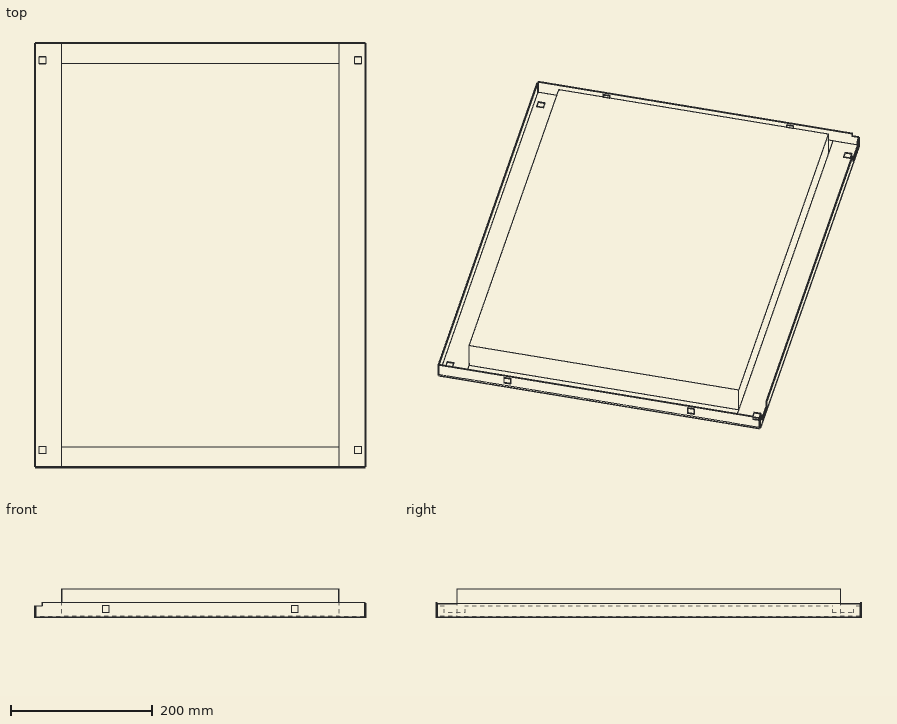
import cadquery as cq

length_x = 469.0
length_y = 601.0
sheet = 1.5
corner_gap = 2.0

left_wall_height = 16.0
right_wall_height = 19.0
end_wall_height = 21.0
end_step_length = 11.0

block_margin_x = 38.5
block_margin_y = 29.5
block_height = 40.0

pad_thickness = 0.3

hole_size = 9.5
wall_hole_inset = 101.0
wall_hole_height = 12.0
floor_hole_inset_x = 11.5
floor_hole_inset_y = 25.0

notch_inset = 11.5
notch_length = 29.5
notch_floor = 6.5

block_x = length_x - 2 * block_margin_x
block_y = length_y - 2 * block_margin_y
sides = (-1, 1)


def box(size_x, size_y, size_z, x, y, z):
    """Box centred on x and y with its underside at z."""
    solid = cq.Workplane("XY").box(size_x, size_y, size_z, centered=(True, True, False))
    return solid.translate((x, y, z))


def floor():
    """Flat sheet with its four corners clipped so the walls do not meet."""
    plate = box(length_x, length_y, sheet, 0, 0, 0)
    for side_x in sides:
        for side_y in sides:
            corner_x = side_x * (length_x - corner_gap) / 2
            corner_y = side_y * (length_y - corner_gap) / 2
            plate = plate.cut(box(corner_gap, corner_gap, sheet, corner_x, corner_y, 0))
    return plate


def left_wall():
    """Lower wall along the -X edge, notched near both ends."""
    x = -(length_x - sheet) / 2
    wall = box(sheet, length_y - 2 * corner_gap, left_wall_height, x, 0, 0)
    for side in sides:
        y = side * (length_y / 2 - notch_inset - notch_length / 2)
        wall = wall.cut(box(sheet, notch_length, left_wall_height, x, y, notch_floor))
    return wall


def right_wall():
    """Plain wall along the +X edge."""
    return box(sheet, length_y - 2 * corner_gap, right_wall_height, (length_x - sheet) / 2, 0, 0)


def end_wall(side):
    """Wall along a Y edge, stepped down at its left end and pierced by two square holes."""
    y = side * (length_y - sheet) / 2
    wall = box(length_x - 2 * corner_gap, sheet, end_wall_height, 0, y, 0)
    step_x = -(length_x - end_step_length) / 2
    wall = wall.cut(box(end_step_length, sheet, end_wall_height, step_x, y, left_wall_height))
    for side_x in sides:
        hole_x = side_x * (length_x / 2 - wall_hole_inset)
        wall = wall.cut(box(hole_size, sheet, hole_size, hole_x, y, wall_hole_height - hole_size / 2))
    return wall


def raised_block():
    """Block standing on the floor, with a thin pad running from under it to both end walls."""
    block = box(block_x, block_y, block_height, 0, 0, 0)
    pad = box(block_x, length_y - 2 * sheet, sheet + pad_thickness, 0, 0, 0)
    return block.union(pad)


def floor_holes():
    """Square cutters through the floor, one near each corner."""
    cutters = cq.Workplane("XY")
    for side_x in sides:
        for side_y in sides:
            hole_x = side_x * (length_x / 2 - floor_hole_inset_x)
            hole_y = side_y * (length_y / 2 - floor_hole_inset_y)
            cutters = cutters.add(box(hole_size, hole_size, sheet, hole_x, hole_y, 0))
    return cutters.combine()


tray = floor().union(left_wall()).union(right_wall())
for side in sides:
    tray = tray.union(end_wall(side))

result = tray.union(raised_block()).cut(floor_holes())